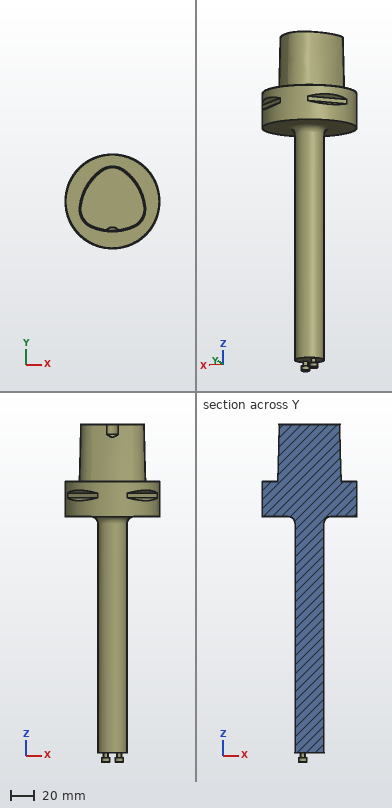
import cadquery as cq
import math

shank_length = 48.0
lobe_centre_distance = 13.0
lobe_radius_mid = 16.3
side_half_angle = 24
taper = 1 / 20

groove_radius = 5.7
groove_axis_y = -27.5
groove_depth = 8.3
groove_cone_height = 4.5

flange_diameter = 80.0
flange_height = 30.0
flange_chamfer = 0.5

slot_count = 4
slot_first_angle = 45
slot_floor_distance = 35.8
slot_floor_height = 3.7
slot_mouth_height = 9.0
slot_centre_z = -12.0

bar_diameter = 25.0
neck_fillet = 5.7

pin_diameter = 4.0
pin_length = 4.0
pin_offset = 5.7
head_diameter = 7.0
head_height = 4.0
head_chamfer = 0.5

total_length = 286.0
bottom_z = shank_length - total_length
bar_bottom_z = bottom_z + head_height + pin_length
flange_radius = flange_diameter / 2


def polar(radius, degrees):
    angle = math.radians(degrees)
    return radius * math.cos(angle), radius * math.sin(angle)


def arc_point(centre, radius, normal_angle):
    dx, dy = polar(radius, normal_angle)
    return centre[0] + dx, centre[1] + dy


def shank_section(z):
    """Closed three-lobed wire at height z, with one lobe toward +Y."""
    half_angle = math.radians(side_half_angle)
    lobe_half_angle = 60 - side_half_angle

    lobe_across = lobe_centre_distance * math.sin(math.radians(60))
    lobe_along = lobe_centre_distance * math.cos(math.radians(60))
    lobe_radius = lobe_radius_mid + taper / 2 * (shank_length / 2 - z)
    side_radius = lobe_radius + lobe_across / math.sin(half_angle)
    side_centre_distance = lobe_across / math.tan(half_angle) - lobe_along

    section = cq.Workplane("XY", origin=(0, 0, z))
    first_lobe_centre = polar(lobe_centre_distance, 90)
    section = section.moveTo(*arc_point(first_lobe_centre, lobe_radius, 90 - lobe_half_angle))
    for lobe_angle in (90, 210, 330):
        lobe_centre = polar(lobe_centre_distance, lobe_angle)
        side_angle = lobe_angle + 60
        side_centre = polar(side_centre_distance, side_angle + 180)
        section = section.threePointArc(
            arc_point(lobe_centre, lobe_radius, lobe_angle),
            arc_point(lobe_centre, lobe_radius, lobe_angle + lobe_half_angle),
        )
        section = section.threePointArc(
            arc_point(side_centre, side_radius, side_angle),
            arc_point(side_centre, side_radius, side_angle + side_half_angle),
        )
    return section.close().wire().val()


def make_shank():
    sections = [shank_section(0), shank_section(shank_length)]
    shank = cq.Workplane(cq.Solid.makeLoft(sections, True))
    groove_end_z = shank_length - groove_depth
    groove = (
        cq.Workplane("XZ")
        .moveTo(0, groove_end_z - groove_cone_height)
        .lineTo(groove_radius, groove_end_z)
        .lineTo(groove_radius, shank_length)
        .lineTo(0, shank_length)
        .close()
        .revolve(360, (0, 0), (0, 1))
        .translate((0, groove_axis_y, 0))
    )
    return shank.cut(groove)


def make_slot_cutter():
    """Prism with a trapezoidal profile that opens toward +X."""
    half_floor = slot_floor_height / 2
    half_mouth = slot_mouth_height / 2
    return (
        cq.Workplane("XZ", origin=(0, 0, slot_centre_z))
        .moveTo(slot_floor_distance, -half_floor)
        .lineTo(flange_radius, -half_mouth)
        .lineTo(flange_radius, half_mouth)
        .lineTo(slot_floor_distance, half_floor)
        .close()
        .extrude(flange_radius, both=True)
    )


def make_flange():
    flange = cq.Workplane("XY").circle(flange_radius).extrude(-flange_height)
    flange = flange.faces(">Z").chamfer(flange_chamfer)
    slot = make_slot_cutter()
    for index in range(slot_count):
        angle = slot_first_angle + index * 360 / slot_count
        flange = flange.cut(slot.rotate((0, 0, 0), (0, 0, 1), angle))
    return flange


def make_bar():
    """Bar that flares into the underside of the flange with a concave fillet."""
    bar_radius = bar_diameter / 2
    fillet_bottom_z = -flange_height - neck_fillet
    fillet_inset = neck_fillet * (1 - math.sqrt(0.5))
    return (
        cq.Workplane("XZ")
        .moveTo(0, bar_bottom_z)
        .lineTo(bar_radius, bar_bottom_z)
        .lineTo(bar_radius, fillet_bottom_z)
        .threePointArc(
            (bar_radius + fillet_inset, -flange_height - fillet_inset),
            (bar_radius + neck_fillet, -flange_height),
        )
        .lineTo(0, -flange_height)
        .close()
        .revolve(360, (0, 0), (0, 1))
    )


def make_pin(x, y):
    head = (
        cq.Workplane("XY", origin=(x, y, bottom_z))
        .circle(head_diameter / 2)
        .extrude(head_height)
        .faces("<Z")
        .chamfer(head_chamfer)
    )
    stem = (
        cq.Workplane("XY", origin=(x, y, bottom_z + head_height))
        .circle(pin_diameter / 2)
        .extrude(pin_length)
    )
    return head.union(stem)


result = make_flange().union(make_shank()).union(make_bar())
for side in (-1, 1):
    result = result.union(make_pin(side * pin_offset, -side * pin_offset))